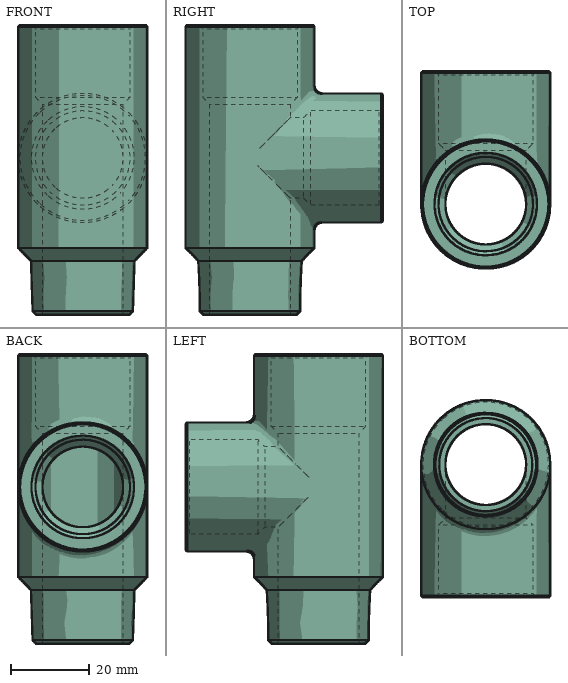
import cadquery as cq

total_height = 74.0
body_diameter = 33.0
body_radius = body_diameter / 2
total_depth = 50.5
branch_reach = total_depth - body_radius
branch_height = 40.0
rim_chamfer = 0.5
junction_fillet = 1.85

shoulder_top = 17.1
shoulder_bottom = 13.8
spigot_top_radius = 26.5 / 2
spigot_tip_radius = 25.7 / 2
spigot_chamfer = 0.95

bore_radius = 20.6 / 2
socket_radius = 24.1 / 2
socket_mouth_radius = 26.2 / 2
socket_depth = 18.5
mouth_depth = socket_mouth_radius - socket_radius
floor_cone_height = socket_radius - bore_radius


def revolve_about_z(points):
    return cq.Workplane("XZ").polyline(points).close().revolve(360, (0, 0, 0), (0, 1, 0))


def point_along_branch(shape):
    """Turn a shape built up the Z axis so that it runs along +Y at the branch height."""
    return shape.rotate((0, 0, 0), (1, 0, 0), -90).translate((0, 0, branch_height))


def make_barrel(start, end):
    """Plain cylinder on Z between two heights."""
    return cq.Workplane("XY").workplane(offset=start).circle(body_radius).extrude(end - start)


def make_tee():
    """Two equal cylinders, blended where they meet and chamfered at their open rims."""
    run = make_barrel(shoulder_top, total_height)
    branch = point_along_branch(make_barrel(0, branch_reach))
    tee = run.union(branch)
    junction = cq.selectors.BoxSelector(
        (-body_diameter, -body_diameter, branch_height - body_diameter),
        (body_diameter, body_diameter, branch_height + body_diameter),
    )
    tee = tee.edges("not %CIRCLE").edges("not %LINE").edges(junction).fillet(junction_fillet)
    return tee.faces(">Z or >Y").edges("%CIRCLE").chamfer(rim_chamfer)


def make_spigot():
    return revolve_about_z([
        (0, 0),
        (spigot_tip_radius - spigot_chamfer, 0),
        (spigot_tip_radius, spigot_chamfer),
        (spigot_top_radius, shoulder_bottom),
        (body_radius, shoulder_top),
        (0, shoulder_top),
    ])


def make_socket(length):
    """Cutter on Z: a socket opening at the given height, coned down to a bore that ends at Z = 0."""
    return revolve_about_z([
        (0, 0),
        (bore_radius, 0),
        (bore_radius, length - socket_depth - floor_cone_height),
        (socket_radius, length - socket_depth),
        (socket_radius, length - mouth_depth),
        (socket_mouth_radius, length),
        (0, length),
    ])


result = make_tee().union(make_spigot())
result = result.cut(make_socket(total_height))
result = result.cut(point_along_branch(make_socket(branch_reach)))